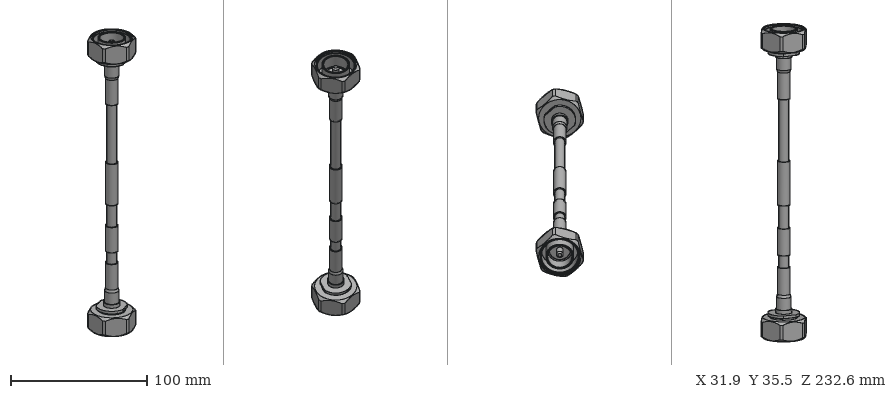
import cadquery as cq
import math


half_length = 116.3

hex_sides = 6
nut_flats = 31.9
nut_corners = 35.5
nut_height = 15.1
nut_chamfer_height = 2.0
nut_chamfer_width = 2.3
nut_bore_radius = 13.5
nut_wall = 3.5
nut_mouth_radius = 14.2
nut_mouth_depth = 1.6
nut_mouth_chamfer = 0.5

barrel_radius = 10.2
rim_chamfer = 0.5
socket_radius = 8.8
recess_radius = 7.7
recess_depth = 0.5
socket_depth = 10.0
collar_gap = 1.5
flange_radius = 11.6
flange_flats = 21.0
flange_thickness = 2.0
shoulder_radius = 6.0
shoulder_length = 2.8
neck_radius = 5.3
neck_length = 9.0
cone_length = 2.0

pin_radius = 2.5
pin_tip_radius = 1.5
pin_setback = 2.8
pin_tip_length = 1.2

cable_radius = 3.7
sleeve_radius = 4.7
sleeve_length = 20.2
label_length = 33.0
band_top = -34.0

nut_back = half_length - nut_height
flange_front = nut_back - collar_gap
flange_back = flange_front - flange_thickness
shoulder_back = flange_back - shoulder_length
neck_back = shoulder_back - neck_length
cable_end = neck_back - cone_length


def cylinder(radius, z_low, z_high):
    return cq.Workplane("XY").workplane(offset=z_low).circle(radius).extrude(z_high - z_low)


def turned(points):
    """Revolve an (r, z) outline about the Z axis."""
    return cq.Workplane("XZ").polyline(points).close().revolve(360, (0, 0), (0, 1))


def make_nut():
    """Upper coupling nut: a turned blank trimmed to a hexagon and bored."""
    corner_radius = nut_corners / 2
    rim_radius = corner_radius - nut_chamfer_width
    blank = turned([
        (0, nut_back),
        (rim_radius, nut_back),
        (corner_radius, nut_back + nut_chamfer_height),
        (corner_radius, half_length - nut_chamfer_height),
        (rim_radius, half_length),
        (0, half_length),
    ])
    half_side_angle = 180 / hex_sides
    hexagon = (
        cq.Workplane("XY").workplane(offset=nut_back)
        .transformed(rotate=(0, 0, half_side_angle))
        .polygon(hex_sides, nut_flats / math.cos(math.radians(half_side_angle)))
        .extrude(nut_height)
    )
    bore_floor = nut_back + nut_wall
    mouth_floor = half_length - nut_mouth_depth
    bore = turned([
        (0, nut_back),
        (barrel_radius, nut_back),
        (barrel_radius, bore_floor),
        (nut_bore_radius, bore_floor),
        (nut_bore_radius, mouth_floor),
        (nut_mouth_radius, mouth_floor),
        (nut_mouth_radius, half_length - nut_mouth_chamfer),
        (nut_mouth_radius + nut_mouth_chamfer, half_length),
        (0, half_length),
    ])
    return blank.intersect(hexagon).cut(bore)


def make_connector():
    """Upper connector body: barrel with its socket and pin, flange, neck and cone."""
    socket_floor = half_length - socket_depth
    recess_floor = socket_floor - recess_depth
    rim_edge = half_length - rim_chamfer
    pin_tip = half_length - pin_setback
    core = turned([
        (0, cable_end),
        (sleeve_radius, cable_end),
        (neck_radius, neck_back),
        (neck_radius, shoulder_back),
        (shoulder_radius, shoulder_back),
        (shoulder_radius, flange_back),
        (barrel_radius, flange_back),
        (barrel_radius, rim_edge),
        (barrel_radius - rim_chamfer, half_length),
        (socket_radius + rim_chamfer, half_length),
        (socket_radius, rim_edge),
        (socket_radius, socket_floor),
        (recess_radius, socket_floor),
        (recess_radius, recess_floor),
        (pin_radius, recess_floor),
        (pin_radius, pin_tip - pin_tip_length),
        (pin_tip_radius, pin_tip),
        (0, pin_tip),
    ])
    flats = (
        cq.Workplane("XY").workplane(offset=flange_back)
        .rect(flange_flats, 2 * flange_radius)
        .extrude(flange_thickness)
    )
    flange = cylinder(flange_radius, flange_back, flange_front).intersect(flats)
    return core.union(flange)


def make_cable():
    """Cable with an end sleeve at each connector, a label at mid-length and a band."""
    sleeve_spans = [
        (cable_end - sleeve_length, cable_end),
        (-label_length / 2, label_length / 2),
        (band_top - sleeve_length, band_top),
        (-cable_end, -cable_end + sleeve_length),
    ]
    cable = cylinder(cable_radius, -cable_end, cable_end)
    for z_low, z_high in sleeve_spans:
        cable = cable.union(cylinder(sleeve_radius, z_low, z_high))
    return cable


bodies = [make_cable().val()]
for make_end in (make_nut, make_connector):
    upper = make_end()
    lower = upper.mirror("XY")
    bodies += [upper.val(), lower.val()]

result = cq.Compound.makeCompound(bodies)